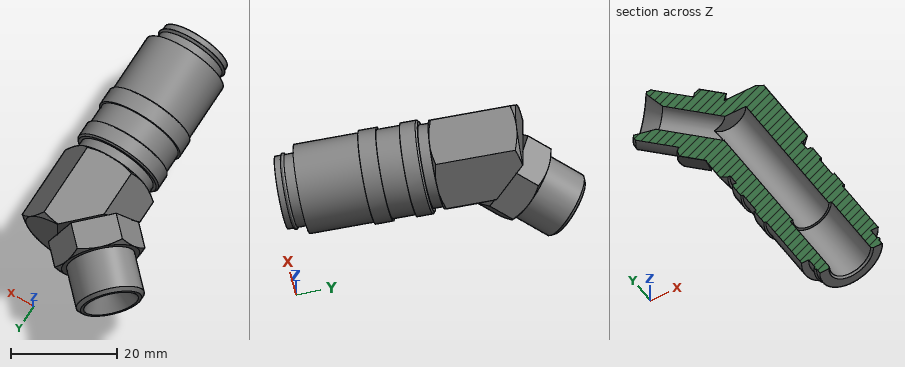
import cadquery as cq
import math

tip_radius = 7.0
tip_length = 3.95
ring_section_radius = 0.35
ring_center = 1.5
sleeve_radius = 8.6
collar_diameter = 18.0
collar_radius = collar_diameter / 2
front_collar_start = 16.5
front_collar_end = 19.95
rear_collar_start = 24.5
rear_collar_end = 27.9
collar_chamfer = 0.35
neck_radius = 8.0

block_start = 29.95
block_length = 16.85
block_across_flats = 17.0
hex_chamfer_angle = 30
elbow_y = block_start + block_length / 2
block_corner_radius = block_across_flats / math.sqrt(3)
branch_face_offset = block_corner_radius / 2

branch_angle = 45
nut_across_flats = 15.15
nut_length = 5.95
spigot_radius = 6.6
spigot_length = 8.85
spigot_chamfer = 0.7
branch_length = branch_face_offset + nut_length + spigot_length
branch_bore_radius = 2.95
seat_radius = 5.3
seat_depth = 3.8

mouth_radius = 4.95
mouth_chamfer = 0.4
counterbore_depth = 14.1
main_bore_radius = 4.0
main_bore_depth = 43.2


def cylinder(radius, start, end):
    """Cylinder along +Z between two heights."""
    return cq.Workplane("XY").workplane(offset=start).circle(radius).extrude(end - start)


def hexagon(across_flats, start, end, chamfer_start, chamfer_end):
    """Hexagon along +Z with corners on X and optional turned chamfers at its ends."""
    flat_radius = across_flats / 2
    corner_radius = across_flats / math.sqrt(3)
    drop = (corner_radius - flat_radius) * math.tan(math.radians(hex_chamfer_angle))
    prism = cq.Workplane("XY").workplane(offset=start).polygon(6, 2 * corner_radius).extrude(end - start)
    envelope = cylinder(corner_radius, start, end)
    if chamfer_start:
        envelope = envelope.faces("<Z").chamfer(drop, corner_radius - flat_radius)
    if chamfer_end:
        envelope = envelope.faces(">Z").chamfer(drop, corner_radius - flat_radius)
    return prism.intersect(envelope)


def along_main(shape):
    """Turn a shape built along +Z so that it runs along +Y."""
    return shape.rotate((0, 0, 0), (1, 0, 0), -90)


def along_branch(shape):
    """Move a shape built along +Z from the origin onto the branch axis."""
    return along_main(shape).rotate((0, 0, 0), (0, 0, 1), branch_angle).translate((0, elbow_y, 0))


def make_coupling():
    ring = cq.Workplane("XZ").center(tip_radius, ring_center).circle(ring_section_radius)
    ring = ring.revolve(360, (-tip_radius, 0), (-tip_radius, 1))
    rear_collar = cylinder(collar_radius, rear_collar_start, rear_collar_end)
    body = cylinder(tip_radius, 0, tip_length)
    body = body.union(ring)
    body = body.union(cylinder(sleeve_radius, tip_length, rear_collar_start))
    body = body.union(cylinder(collar_radius, front_collar_start, front_collar_end))
    body = body.union(rear_collar.faces(">Z").chamfer(collar_chamfer))
    return along_main(body.union(cylinder(neck_radius, rear_collar_end, block_start)))


def make_block():
    block = along_main(hexagon(block_across_flats, block_start, block_start + block_length, True, True))
    beyond_face = cylinder(2 * block_length, branch_face_offset, branch_length)
    return block.cut(along_branch(beyond_face))


def make_branch():
    nut_end = branch_face_offset + nut_length
    nut = hexagon(nut_across_flats, branch_face_offset, nut_end, False, True)
    spigot = cylinder(spigot_radius, nut_end, branch_length).faces(">Z").chamfer(spigot_chamfer)
    return along_branch(nut.union(spigot))


def make_main_bore():
    counterbore_radius = mouth_radius - mouth_chamfer
    bore = cylinder(main_bore_radius, 0, main_bore_depth)
    bore = bore.union(cylinder(counterbore_radius, 0, counterbore_depth))
    mouth = cq.Workplane("XY").circle(mouth_radius)
    mouth = mouth.workplane(offset=mouth_chamfer).circle(counterbore_radius).loft(ruled=True)
    return along_main(bore.union(mouth))


def make_branch_bore():
    seat = cq.Workplane("XY").workplane(offset=branch_length - seat_depth).circle(branch_bore_radius)
    seat = seat.workplane(offset=seat_depth).circle(seat_radius).loft(ruled=True)
    return along_branch(cylinder(branch_bore_radius, 0, branch_length).union(seat))


result = make_coupling().union(make_block()).union(make_branch())
result = result.cut(make_main_bore()).cut(make_branch_bore())